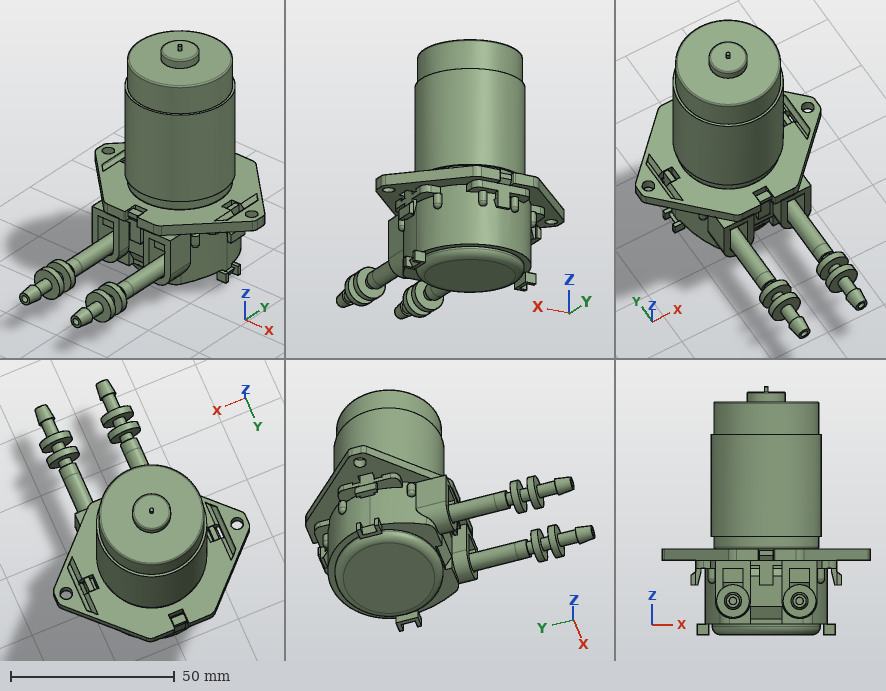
import cadquery as cq
import math


plate_thickness = 3.5
plate_half_x = 31.81
plate_half_y = 23.65
plate_edge_sum = 34.15
plate_end_fillet = 2.3
plate_side_fillet = 3.3
screw_hole_x = 28.4
screw_hole_diameter = 3.8

can_radius = 16.87
cap_radius = 16.07
boss_radius = 5.85
shaft_radius = 0.6
can_bottom_z = 7.2
can_top_z = 38.5
cap_top_z = 48.4
boss_top_z = 51.4
shaft_top_z = 53.08
motor_edge_fillet = 0.5

collar_height = 2.45
collar_half_length = 9.95
collar_fillet = 2.45
collar_side_reach = 21.55
collar_end_reach = 21.4
collar_root = 14.0
tee_height = 1.6

leg_bottom_z = -7.6
leg_half_width = 2.1
window_half_width = 2.33
stub_top_z = 3.05
stub_lip_z = 1.45
end_notch_floor = 18.6
end_stub_outer = 22.45
end_stub_inner = 19.85
end_leg_inner = 19.9
catch_top_z = -4.6
catch_tip = 18.9
catch_bottom = 20.4
notch_fillet = 0.4

side_window_outer = 23.4
side_window_inner = 18.55
side_leg_inner = 19.9
side_leg_tip = 20.9
pad_outer = 23.0
pad_half_width = 3.35
pad_top_z = -3.45
pad_shoulder_z = -4.55
relief_outer_y = 4.7
relief_height = 0.8

groove_outer = 24.85
groove_inner = 22.1
groove_rim_x = 24.6
groove_rim_z = 3.2
groove_bottom_z = 2.2
groove_inner_half_length = 10.1

head_radius = 18.7
head_bottom_z = -19.53
head_corner_x = 14.1
head_corner_y = -16.7
head_front_x = 11.2
head_front_y = -18.65
flank_bulge_x = 17.4
flank_bulge_y = -8.5
cover_radius = 16.55
cover_bottom_z = -22.8
cover_fillet = 2.6
front_recess_slope_top_z = -14.15
front_recess_slope_bottom_z = -17.9
front_recess_depth = 2.1
latch_ledge_z = -4.85
latch_ledge_depth = 1.2

tube_x = 10.17
tube_z = -12.43
tube_radius = 2.78
hose_end_y = -38.0
port_front_y = -23.4
port_radius = 5.35
port_back_y = -8.0
port_inner_x = 4.75
slot_half_width = 3.05
slot_top_z = -collar_height
slot_depth = 2.5
race_top_z = -6.78

ferrule_end_y = -41.55
stem_radius = 2.0
flange_radius = 5.0
flange_thickness = 2.2
flange_starts_y = (-43.87, -49.3)
barb_radius = 2.6
barb_start_y = -57.4
tip_y = -62.21
bore_radius = 1.15
bore_depth = 29.5

peg_radius = 1.3
peg_straight_end_z = -5.75
peg_places = ((16.5, -12.65), (16.5, 9.4), (5.5, 18.1))

bracket_outer = 21.1
bracket_inner = 17.5
bracket_half_width = 3.55
bracket_post_width = 1.3
bracket_web_top_z = -20.6
bracket_web_outer = 19.9
bracket_web_foot = 18.7


def box(x0, x1, y0, y1, z0, z1):
    """Box between two opposite corners."""
    return cq.Workplane("XY").box(x1 - x0, y1 - y0, z1 - z0, centered=False).translate((x0, y0, z0))


def disc(radius, z0, z1):
    """Cylinder on the motor axis."""
    return cq.Workplane("XY").workplane(offset=z0).circle(radius).extrude(z1 - z0)


def xz_prism(points, half_width):
    """Prism with an (x, z) outline, centred on y = 0."""
    return cq.Workplane("XZ").polyline(points).close().extrude(half_width, both=True)


def yz_prism(points, half_width):
    """Prism with a (y, z) outline, centred on x = 0."""
    return cq.Workplane("YZ").polyline(points).close().extrude(half_width, both=True)


def both_sides(shape, plane):
    """The shape together with its mirror image."""
    return shape.union(shape.mirror(plane))


def head_core(depth):
    """Head outline: round at the back, bulging flanks and rounded corners to a blunt front."""
    back_arc_middle = head_radius * math.sqrt(0.5)
    half = (
        cq.Workplane("XY")
        .moveTo(0, head_radius)
        .threePointArc((-back_arc_middle, back_arc_middle), (-head_radius, 0))
        .threePointArc((-flank_bulge_x, flank_bulge_y), (-head_corner_x, head_corner_y))
        .tangentArcPoint((-head_front_x, head_front_y), relative=False)
        .lineTo(0, head_front_y)
        .close()
        .extrude(-depth)
    )
    return both_sides(half, "YZ")


def motor():
    shaft = disc(shaft_radius, boss_top_z, shaft_top_z)
    boss = disc(boss_radius, cap_top_z, boss_top_z).faces(">Z").edges().fillet(motor_edge_fillet)
    cap = disc(cap_radius, can_top_z, cap_top_z).faces(">Z").edges().fillet(motor_edge_fillet)
    can = disc(can_radius, can_bottom_z, can_top_z)
    foot = disc(cap_radius, plate_thickness, can_bottom_z).faces("<Z").edges().fillet(motor_edge_fillet)
    return foot.union(can).union(cap).union(boss).union(shaft)


def plate():
    end_y = plate_edge_sum - plate_half_x
    side_x = plate_edge_sum - plate_half_y
    quadrant = [(plate_half_x, end_y), (side_x, plate_half_y)]
    left = [(-x, y) for x, y in reversed(quadrant)]
    outline = quadrant + left + [(-x, -y) for x, y in quadrant + left]
    body = cq.Workplane("XY").polyline(outline).close().extrude(plate_thickness)
    body = body.edges("|Z").edges("<X or >X").fillet(plate_end_fillet)
    body = body.edges("|Z").edges("<Y or >Y").fillet(plate_side_fillet)
    holes = cq.Workplane("XY").pushPoints([(-screw_hole_x, 0), (screw_hole_x, 0)])
    return body.cut(holes.circle(screw_hole_diameter / 2).extrude(plate_thickness))


def end_notches():
    notch = box(
        -window_half_width, window_half_width, end_notch_floor, plate_half_y, 0, plate_thickness
    )
    return both_sides(notch, "XZ")


def mouth_edges(y):
    """Selector for the two upright edges where an end notch opens at the plate edge."""
    margin = 0.1
    return cq.selectors.BoxSelector(
        (-window_half_width - margin, y - margin, -margin),
        (window_half_width + margin, y + margin, plate_thickness + margin),
    )


def side_windows():
    window = box(
        side_window_inner, side_window_outer, -window_half_width, window_half_width, 0, plate_thickness
    )
    return both_sides(window, "YZ")


def grooves():
    """V-shaped grooves with a low outer rim and ends parallel to the plate edges."""
    outer_half_length = groove_inner_half_length - (groove_outer - groove_inner)
    profile = xz_prism(
        [
            (groove_outer, plate_thickness),
            (groove_rim_x, groove_rim_z),
            (side_window_outer, groove_bottom_z),
            (groove_inner, plate_thickness),
        ],
        groove_inner_half_length,
    )
    trapezoid = (
        cq.Workplane("XY")
        .polyline(
            [
                (groove_inner, -groove_inner_half_length),
                (groove_outer, -outer_half_length),
                (groove_outer, outer_half_length),
                (groove_inner, groove_inner_half_length),
            ]
        )
        .close()
        .extrude(plate_thickness)
    )
    return both_sides(profile.intersect(trapezoid), "YZ")


def collar():
    """Two side segments and a back segment around the head, and the narrow front segment."""
    side = box(
        collar_root, collar_side_reach, -collar_half_length, collar_half_length, -collar_height, 0
    )
    side = side.edges("|Z and >X").fillet(collar_fillet)
    for y in (-relief_outer_y, window_half_width):
        length = relief_outer_y - window_half_width
        side = side.cut(box(side_leg_inner, collar_side_reach, y, y + length, -relief_height, 0))
    back = box(
        -collar_half_length, collar_half_length, collar_root, collar_end_reach, -collar_height, 0
    )
    back = back.edges("|Z and >Y").fillet(collar_fillet)
    front = box(-port_inner_x, port_inner_x, -collar_end_reach, head_front_y, -tee_height, 0)
    segments = both_sides(side, "YZ").union(back).cut(head_core(collar_height))
    return segments.union(front)


def end_leg():
    """Snap leg in the back notch: a stub in the plate and an inward catch at the bottom."""
    return yz_prism(
        [
            (end_stub_inner, stub_top_z),
            (end_stub_outer, stub_top_z),
            (end_stub_outer, stub_lip_z),
            (collar_end_reach, 0),
            (collar_end_reach, leg_bottom_z),
            (catch_bottom, leg_bottom_z),
            (catch_tip, catch_top_z),
            (end_leg_inner, catch_top_z),
        ],
        leg_half_width,
    )


def side_latch():
    """Tapered leg on the right side with a wider finger pad outside it."""
    leg = xz_prism(
        [
            (side_leg_inner, stub_top_z),
            (collar_side_reach, stub_top_z),
            (collar_side_reach, leg_bottom_z),
            (side_leg_tip, leg_bottom_z),
            (side_leg_inner, pad_top_z),
        ],
        window_half_width,
    )
    pad = xz_prism(
        [
            (collar_side_reach, pad_top_z),
            (pad_outer, pad_shoulder_z),
            (pad_outer, leg_bottom_z),
            (collar_side_reach, leg_bottom_z),
        ],
        pad_half_width,
    )
    return leg.union(pad)


def make_drive_unit():
    base = plate().cut(end_notches())
    for y in (-plate_half_y, plate_half_y):
        base = base.edges("|Z").edges(mouth_edges(y)).fillet(notch_fillet)
    base = base.cut(side_windows()).cut(grooves())
    base = base.union(collar())
    base = base.union(both_sides(end_leg(), "XZ"))
    base = base.union(both_sides(side_latch(), "YZ"))
    return base.union(motor())


def port(x):
    """Housing with a round underside around one leg of the tube."""
    length = port_back_y - port_front_y
    upper = box(x - port_radius, x + port_radius, port_front_y, port_back_y, tube_z, 0)
    lower = cq.Workplane("XZ", origin=(x, port_back_y, tube_z)).circle(port_radius).extrude(length)
    return upper.union(lower)


def port_slot(x):
    """Straight-sided slot in the front of a port, open below into the tube race."""
    left = x - slot_half_width
    right = x + slot_half_width
    return box(left, right, port_front_y, port_front_y + slot_depth, tube_z, slot_top_z)


def tube_race():
    """U-shaped passage around the tube, flat on top and round at the bottom."""
    profile = (
        cq.Workplane("XZ", origin=(tube_x, port_front_y, tube_z))
        .moveTo(-slot_half_width, race_top_z - tube_z)
        .lineTo(-slot_half_width, 0)
        .threePointArc((0, -slot_half_width), (slot_half_width, 0))
        .lineTo(slot_half_width, race_top_z - tube_z)
        .close()
    )
    return profile.sweep(tube_path(port_front_y))


def front_recess():
    """Undercut between the two ports, with a sloping roof."""
    deep_y = head_front_y + front_recess_depth
    undercut = yz_prism(
        [
            (head_front_y, front_recess_slope_top_z),
            (deep_y, front_recess_slope_bottom_z),
            (deep_y, head_bottom_z),
            (head_front_y, head_bottom_z),
        ],
        port_inner_x,
    )
    ledge_y = head_front_y + latch_ledge_depth
    ledge = yz_prism(
        [
            (head_front_y, -tee_height),
            (ledge_y, -tee_height),
            (ledge_y, -collar_height),
            (head_front_y, latch_ledge_z),
        ],
        port_inner_x,
    )
    return undercut.union(ledge)


def peg(x, y):
    """Round-tipped peg hanging along the outside of the head."""
    shank = cq.Workplane("XY", origin=(x, y, peg_straight_end_z)).circle(peg_radius)
    shank = shank.extrude(-collar_height - peg_straight_end_z)
    return shank.union(cq.Workplane("XY", origin=(x, y, peg_straight_end_z)).sphere(peg_radius))


def bracket():
    """Two posts under the right edge of the head, joined by a web with a sloping outer face."""
    web_half_width = bracket_half_width - bracket_post_width
    post = box(
        bracket_inner, bracket_outer, web_half_width, bracket_half_width, cover_bottom_z, head_bottom_z
    )
    wall = box(
        bracket_inner, head_radius, -web_half_width, web_half_width, bracket_web_top_z, head_bottom_z
    )
    web = xz_prism(
        [
            (bracket_inner, bracket_web_top_z),
            (bracket_web_outer, bracket_web_top_z),
            (bracket_web_foot, cover_bottom_z),
            (bracket_inner, cover_bottom_z),
        ],
        web_half_width,
    )
    return both_sides(post, "XZ").union(wall.intersect(head_core(-bracket_web_top_z))).union(web)


def make_pump_head():
    head = head_core(-head_bottom_z)
    cover = disc(cover_radius, cover_bottom_z, head_bottom_z)
    head = head.union(cover.faces("<Z").edges().fillet(cover_fillet))
    for x in (-tube_x, tube_x):
        head = head.union(port(x))
    for x, y in peg_places:
        head = head.union(peg(x, y)).union(peg(-x, y))
    head = head.union(both_sides(bracket(), "YZ"))
    head = head.cut(front_recess()).cut(tube_race())
    for x in (-tube_x, tube_x):
        head = head.cut(port_slot(x))
    return head


def tube_path(front_y):
    """U-shaped centre line: two straight legs joined by a half circle."""
    return (
        cq.Workplane("XY", origin=(0, 0, tube_z))
        .moveTo(tube_x, front_y)
        .lineTo(tube_x, 0)
        .threePointArc((0, tube_x), (-tube_x, 0))
        .lineTo(-tube_x, front_y)
    )


def along_tube(x, radius, start_y, end_y):
    """Cylinder on the axis of a tube leg, running forward from start_y to end_y."""
    return cq.Workplane("XZ", origin=(x, start_y, tube_z)).circle(radius).extrude(start_y - end_y)


def connector(x):
    """Ferrule, stem with two flanges, and a barbed tip."""
    body = along_tube(x, tube_radius, hose_end_y, ferrule_end_y)
    body = body.union(along_tube(x, stem_radius, ferrule_end_y, tip_y))
    for start_y in flange_starts_y:
        body = body.union(along_tube(x, flange_radius, start_y, start_y - flange_thickness))
    barb_length = barb_start_y - tip_y
    barb_taper = math.degrees(math.atan((barb_radius - stem_radius) / barb_length))
    barb = cq.Workplane("XZ", origin=(x, barb_start_y, tube_z)).circle(barb_radius)
    return body.union(barb.extrude(barb_length, taper=barb_taper))


def make_tube():
    hose = cq.Workplane("XZ", origin=(tube_x, hose_end_y, tube_z)).circle(tube_radius)
    tube = hose.sweep(tube_path(hose_end_y))
    for x in (-tube_x, tube_x):
        tube = tube.union(connector(x), clean=False)
        tube = tube.cut(along_tube(x, bore_radius, tip_y + bore_depth, tip_y), clean=False)
    return tube


drive_unit = make_drive_unit()
pump_head = make_pump_head()
tube = make_tube()

result = cq.Compound.makeCompound([body.solids().val() for body in (drive_unit, pump_head, tube)])